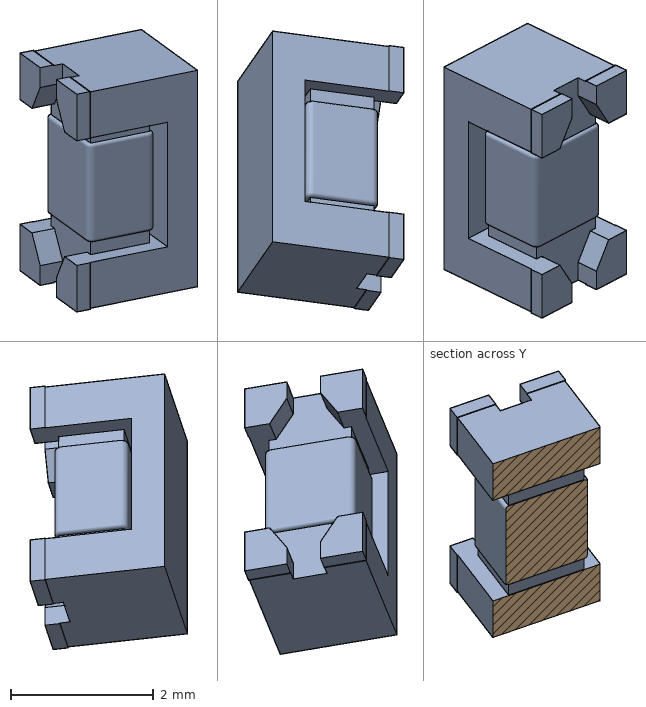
import cadquery as cq

width = 1.72
depth = 1.93
height = 3.32

pad_overhang = 0.01
pad_thickness = 0.215

window_height = 1.9
back_wall = 0.478
core_width = width - 2 * pad_overhang
core_height = height - 2 * pad_overhang

notch_width = 0.49
notch_mouth_width = 0.99
notch_straight = 0.302
notch_depth = 0.36

post_width = 1.2
post_depth = 0.94

winding_width = 1.32
winding_depth = 1.055
winding_height = 1.5
winding_side_radius = 0.1
winding_end_radius = 0.05

front_y = -depth / 2
back_y = depth / 2
core_front_y = front_y + pad_thickness
post_front_y = front_y + notch_depth
post_center_y = post_front_y + post_depth / 2
window_top = window_height / 2


def block(size_x, size_z, y_start, y_end):
    """Box centred on X and Z, spanning y_start to y_end."""
    size_y = y_end - y_start
    return cq.Workplane("XY").box(size_x, size_y, size_z).translate((0, y_start + size_y / 2, 0))


def make_core_with_pads():
    core = block(core_width, core_height, core_front_y, back_y)
    pads = block(width, height, front_y, core_front_y)
    window = block(width, window_height, front_y, back_y - back_wall)
    return core.union(pads).cut(window)


def make_upper_notch():
    """Flared notch through the pads and into the front of the upper flange."""
    top = height / 2
    flare_start = top - notch_straight
    outline = [
        (-notch_width / 2, top),
        (notch_width / 2, top),
        (notch_width / 2, flare_start),
        (notch_mouth_width / 2, window_top),
        (-notch_mouth_width / 2, window_top),
        (-notch_width / 2, flare_start),
    ]
    return cq.Workplane("XZ", origin=(0, front_y, 0)).polyline(outline).close().extrude(-notch_depth)


def make_post():
    return block(post_width, window_height, post_front_y, post_front_y + post_depth)


def make_winding():
    winding = cq.Workplane("XY").box(winding_width, winding_depth, winding_height)
    winding = winding.edges("|Z").fillet(winding_side_radius)
    winding = winding.faces("<Z or >Z").edges().fillet(winding_end_radius)
    return winding.translate((0, post_center_y, 0))


upper_notch = make_upper_notch()
lower_notch = upper_notch.mirror("XY")
core_with_pads = make_core_with_pads().cut(upper_notch).cut(lower_notch)
result = core_with_pads.union(make_post()).union(make_winding())